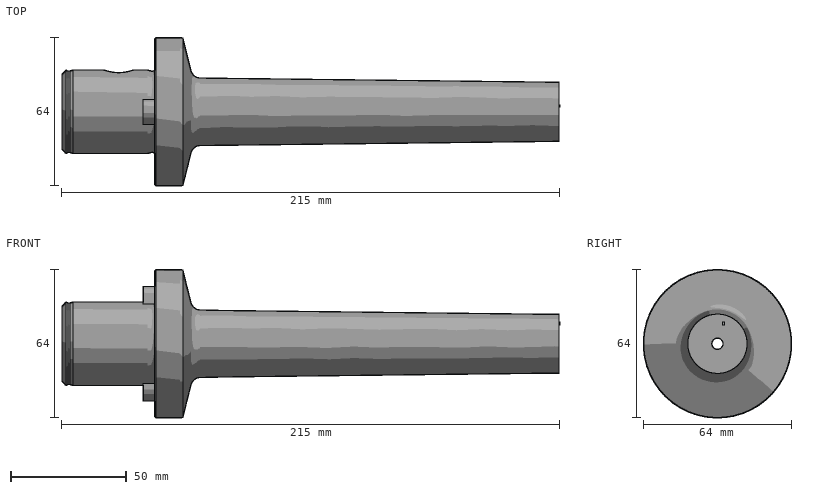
import cadquery as cq
import math

overall_length = 215.0
stud_height = 0.5
shank_end_x = overall_length - stud_height
flange_face_x = 40.0

spigot_radius = 18.0
nose_radius = 16.1
nose_chamfer_length = 1.7
nose_groove_depth = 0.5
nose_groove_bottom_start_x = 2.5
nose_groove_bottom_end_x = 3.5
nose_groove_end_x = 4.7

undercut_start_x = 37.0
undercut_bottom_x = 38.5
undercut_depth = 0.5
undercut_outer_radius = 20.0

flange_radius = 32.0
flange_chamfer = 0.6
flange_rim_end_x = 51.2
flange_back_chamfer_length = 1.0
flange_back_radius = 31.8
cone_slope = math.radians(76)
shank_fillet_radius = 4.0

shank_root_radius = 14.6
shank_taper_drop = 1.83
shank_end_radius = shank_root_radius - shank_taper_drop

mouth_radius = 11.0
counterbore_radius = 9.9
bore_radius = 8.4
coolant_radius = 2.4
mouth_chamfer_length = 1.0
counterbore_depth = 3.0
bore_depth = 43.0
bore_cone_half_angle = math.radians(59)

cross_hole_radius = 6.2
cross_hole_x = 24.5

key_radius = 5.4
key_centre_height = 19.4
key_front_x = 35.0
key_count = 2

stud_width = 0.9
stud_length = 1.3
stud_y = 2.5
stud_z = 8.8


def outer_body():
    """Revolve the spigot, flange and shank about the X axis."""
    cone_start_x = flange_rim_end_x + flange_back_chamfer_length
    fillet_start_radius = shank_root_radius + shank_fillet_radius * (1 - math.cos(cone_slope))
    fillet_start_x = cone_start_x + (flange_back_radius - fillet_start_radius) / math.tan(cone_slope)
    fillet_end_x = fillet_start_x + shank_fillet_radius * math.sin(cone_slope)
    half_slope = cone_slope / 2
    fillet_middle = (
        fillet_end_x - shank_fillet_radius * math.sin(half_slope),
        shank_root_radius + shank_fillet_radius * (1 - math.cos(half_slope)),
    )
    undercut_deepest = (flange_face_x + undercut_depth, spigot_radius + undercut_depth)
    profile = (
        cq.Workplane("XY")
        .moveTo(0, 0)
        .lineTo(0, nose_radius)
        .lineTo(nose_chamfer_length, spigot_radius)
        .lineTo(nose_groove_bottom_start_x, spigot_radius - nose_groove_depth)
        .lineTo(nose_groove_bottom_end_x, spigot_radius - nose_groove_depth)
        .lineTo(nose_groove_end_x, spigot_radius)
        .lineTo(undercut_start_x, spigot_radius)
        .lineTo(undercut_bottom_x, spigot_radius - undercut_depth)
        .tangentArcPoint(undercut_deepest, relative=False)
        .lineTo(flange_face_x, undercut_outer_radius)
        .lineTo(flange_face_x, flange_radius - flange_chamfer)
        .lineTo(flange_face_x + flange_chamfer, flange_radius)
        .lineTo(flange_rim_end_x, flange_radius)
        .lineTo(cone_start_x, flange_back_radius)
        .lineTo(fillet_start_x, fillet_start_radius)
        .threePointArc(fillet_middle, (fillet_end_x, shank_root_radius))
        .lineTo(shank_end_x, shank_end_radius)
        .lineTo(shank_end_x, 0)
        .close()
    )
    return profile.revolve(360, (0, 0), (1, 0))


def stepped_bore():
    """Chamfered mouth, counterbore, bore with a conical bottom, and the through coolant hole."""
    bore_cone_length = (bore_radius - coolant_radius) / math.tan(bore_cone_half_angle)
    profile = (
        cq.Workplane("XY")
        .moveTo(0, 0)
        .lineTo(0, mouth_radius)
        .lineTo(mouth_chamfer_length, counterbore_radius)
        .lineTo(counterbore_depth, counterbore_radius)
        .lineTo(counterbore_depth, bore_radius)
        .lineTo(bore_depth, bore_radius)
        .lineTo(bore_depth + bore_cone_length, coolant_radius)
        .lineTo(shank_end_x, coolant_radius)
        .lineTo(shank_end_x, 0)
        .close()
    )
    return profile.revolve(360, (0, 0), (1, 0))


def cross_hole():
    """Radial hole from the +Y side into the bore."""
    return cq.Workplane("XZ").center(cross_hole_x, 0).circle(cross_hole_radius).extrude(-spigot_radius)


def driving_key(turn):
    """Round-topped key standing on the spigot against the flange, turned about the X axis."""
    length = flange_face_x - key_front_x
    round_top = (
        cq.Workplane("YZ", origin=(key_front_x, 0, 0))
        .center(0, key_centre_height)
        .circle(key_radius)
        .extrude(length)
    )
    stem = (
        cq.Workplane("YZ", origin=(key_front_x, 0, 0))
        .center(0, key_centre_height / 2)
        .rect(2 * key_radius, key_centre_height)
        .extrude(length)
    )
    spigot_seat = cq.Workplane("YZ").circle(spigot_radius).extrude(flange_face_x)
    key = round_top.union(stem).cut(spigot_seat)
    return key.rotate((0, 0, 0), (1, 0, 0), turn)


def end_stud():
    """Small stud on the end face of the shank."""
    return (
        cq.Workplane("YZ", origin=(shank_end_x, stud_y, stud_z))
        .rect(stud_width, stud_length)
        .extrude(stud_height)
    )


adapter = outer_body().cut(stepped_bore()).cut(cross_hole())
keys = [driving_key(index * 360 / key_count) for index in range(key_count)]
stud = end_stud()

result = cq.Compound.makeCompound([adapter.val(), *[key.val() for key in keys], stud.val()])